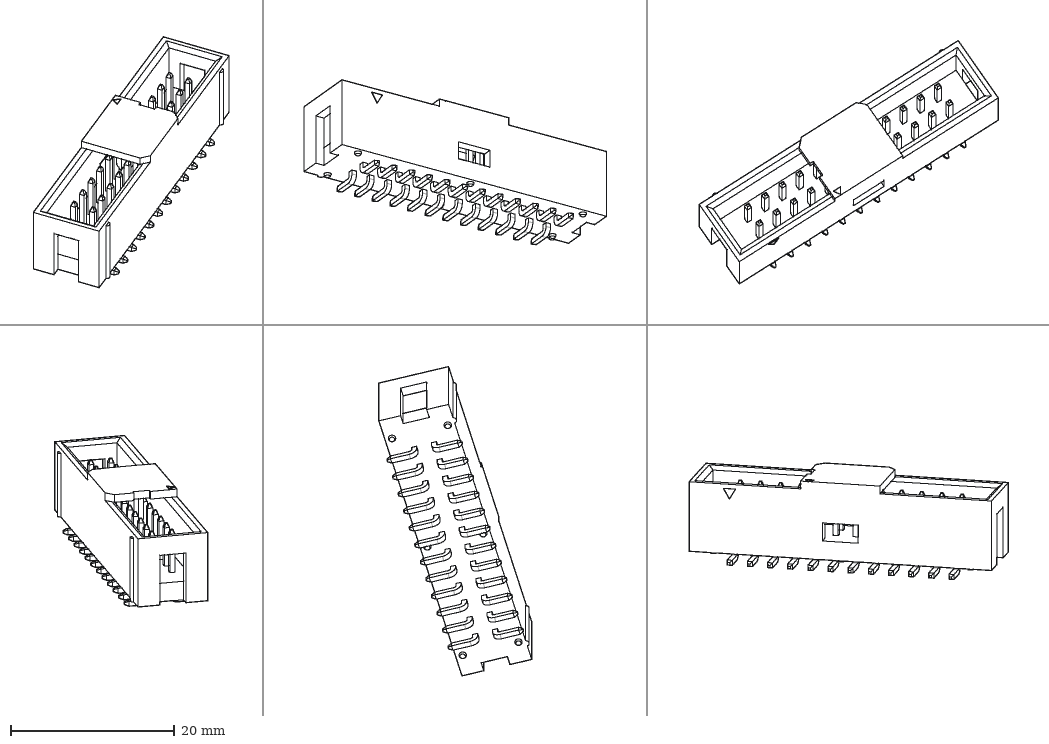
import cadquery as cq


body_width = 8.88
body_length = 38.1
body_bottom = 1.5
total_height = 11.3
cap_thickness = 1.0
body_top = total_height - cap_thickness

floor_z = 3.9
cavity_width = 6.3
cavity_length = 35.75
lead_in_depth = 0.45
lead_in_width = 0.6

end_wall = (body_length - cavity_length) / 2
side_wall = (body_width - cavity_width) / 2
end_slot_width = 3.3
end_slot_top = 7.92
window_width = 4.5
window_top = 6.17

pitch = body_length / 15
pins_per_row = 12
row_x = pitch / 2
pin_size = 0.65
pin_top = 9.35
tip_length = 0.5
tip_size = 0.25
bend_inner = 0.3
bend_outer = bend_inner + pin_size
lead_reach = 4.75

bump_x = 3.55
bump_y = 16.2
bump_radius = 0.45
bump_height = 0.25
bump_taper = 25
rib_radius = 0.42
rib_projection = 0.325
rib_y = 16.65
rib_top = 9.7

cap_length = 10.0
cap_chamfer = 0.95
cap_notch_width = 2.1
cap_notch_depth = 0.45
leg_inner_x = 0.3
leg_foot_width = 0.1
leg_slope_height = 0.72

mark_depth = 0.08
side_mark_width = 1.52
side_mark_height = 1.3
side_mark_top = body_top - 0.57
cap_mark_width = 1.05
cap_mark_height = 0.85
cap_mark_edge_gap = 0.08
cap_mark_y = 4.08


def box(width, length, bottom, top, x=0, y=0):
    """Block centred on (x, y), spanning the given heights."""
    block = cq.Workplane("XY").box(width, length, top - bottom, centered=(True, True, False))
    return block.translate((x, y, bottom))


def make_housing():
    shell = box(body_width, body_length, body_bottom, body_top)
    shell = shell.cut(box(cavity_width, cavity_length, floor_z, body_top))
    lead_in = (
        cq.Workplane("XY")
        .workplane(offset=body_top - lead_in_depth)
        .rect(cavity_width, cavity_length)
        .workplane(offset=lead_in_depth)
        .rect(cavity_width + 2 * lead_in_width, cavity_length + 2 * lead_in_width)
        .loft(ruled=True)
    )
    shell = shell.cut(lead_in)
    for side in (-1, 1):
        slot_y = side * (body_length - end_wall) / 2
        shell = shell.cut(box(end_slot_width, end_wall, body_bottom, end_slot_top, y=slot_y))
    window_x = -(body_width - side_wall) / 2
    return shell.cut(box(side_wall, window_width, floor_z, window_top, x=window_x))


def make_bumps():
    points = [(x, y) for x in (-bump_x, bump_x) for y in (-bump_y, 0, bump_y)]
    return (
        cq.Workplane("XY", origin=(0, 0, body_bottom))
        .pushPoints(points)
        .circle(bump_radius)
        .extrude(-bump_height, taper=bump_taper)
    )


def make_ribs():
    rib_x = body_width / 2 + rib_projection - rib_radius
    return (
        cq.Workplane("XY", origin=(rib_x, 0, body_bottom))
        .pushPoints([(0, -rib_y), (0, rib_y)])
        .circle(rib_radius)
        .extrude(rib_top - body_bottom)
    )


def make_pin():
    """Pin of the +X row at y = 0: pointed post, bend, and pointed foot along +X."""
    inner_x = row_x - pin_size / 2
    bend_x = inner_x + bend_outer
    shoulder_z = pin_top - tip_length
    shoulder_x = lead_reach - tip_length
    bar = (
        cq.Workplane("XZ")
        .moveTo(inner_x, shoulder_z)
        .lineTo(inner_x, bend_outer)
        .radiusArc((bend_x, 0), -bend_outer)
        .lineTo(shoulder_x, 0)
        .lineTo(shoulder_x, pin_size)
        .lineTo(bend_x, pin_size)
        .radiusArc((inner_x + pin_size, bend_outer), bend_inner)
        .lineTo(inner_x + pin_size, shoulder_z)
        .close()
        .extrude(pin_size / 2, both=True)
    )
    post_tip = make_tip(cq.Workplane("XY", origin=(row_x, 0, shoulder_z)))
    foot_tip = make_tip(cq.Workplane("YZ", origin=(shoulder_x, 0, pin_size / 2)))
    return bar.union(post_tip).union(foot_tip)


def make_tip(base_plane):
    return (
        base_plane.rect(pin_size, pin_size)
        .workplane(offset=tip_length)
        .rect(tip_size, tip_size)
        .loft(ruled=True)
    )


def make_cap():
    plate = box(body_width, cap_length, body_top, total_height)
    plate = plate.edges("|Z and >X").chamfer(cap_chamfer)
    notch_y = (cap_length - cap_notch_depth) / 2
    plate = plate.cut(box(cap_notch_width, cap_notch_depth, body_top, total_height, y=notch_y))
    leg_outer_x = row_x - pin_size / 2
    leg = (
        cq.Workplane("XZ")
        .moveTo(leg_inner_x, total_height)
        .lineTo(leg_inner_x, window_top)
        .lineTo(leg_inner_x + leg_foot_width, window_top)
        .lineTo(leg_outer_x, window_top + leg_slope_height)
        .lineTo(leg_outer_x, total_height)
        .close()
        .extrude(window_width / 2, both=True)
    )
    return plate.union(leg).union(leg.mirror("YZ"))


def make_marks():
    """Cutters for the triangles on the -X wall and on the cap."""
    first_pin_y = pitch * (pins_per_row - 1) / 2
    side_mark = (
        cq.Workplane("YZ", origin=(-body_width / 2, first_pin_y, side_mark_top))
        .polyline([(-side_mark_width / 2, 0), (side_mark_width / 2, 0), (0, -side_mark_height)])
        .close()
        .extrude(mark_depth)
    )
    apex_x = cap_mark_edge_gap - body_width / 2
    cap_mark = (
        cq.Workplane("XY", origin=(apex_x, cap_mark_y, total_height))
        .polyline([(0, 0), (cap_mark_height, cap_mark_width / 2), (cap_mark_height, -cap_mark_width / 2)])
        .close()
        .extrude(-mark_depth)
    )
    return side_mark.union(cap_mark)


def make_pins():
    right_pin = make_pin()
    pin_pair = cq.Compound.makeCompound([right_pin.val(), right_pin.mirror("YZ").val()])
    pair_positions = cq.Workplane("XY").rarray(0.4, pitch, 1, pins_per_row)
    return pair_positions.eachpoint(lambda place: pin_pair.moved(place))


housing = make_housing().union(make_bumps()).union(make_ribs())
header = housing.union(make_cap()).union(make_pins())
result = header.cut(make_marks())